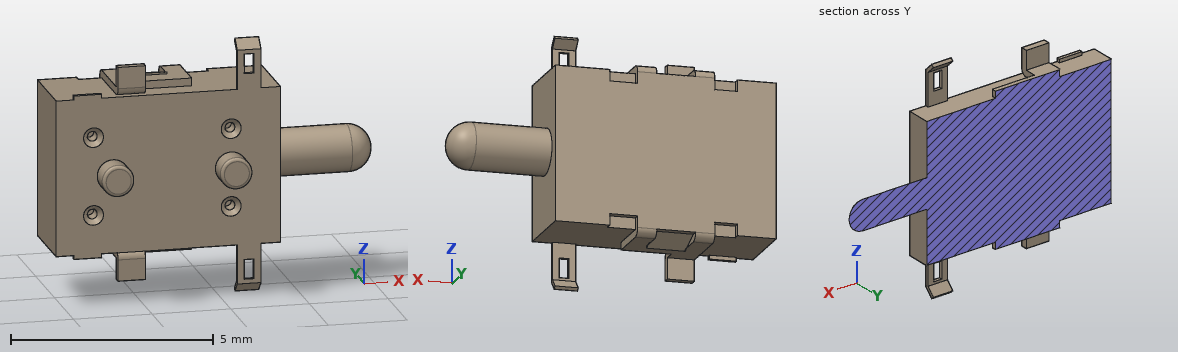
import cadquery as cq
import math


body_length = 5.7
body_depth = 2.0
body_height = 4.0
body_top = body_height / 2

total_length = 8.25
plunger_diameter = 1.2
plunger_radius = plunger_diameter / 2
plunger_y = 1.1
plunger_straight_length = total_length - plunger_radius - body_length

pin_diameter = 0.8
pin_length = 0.6
pin_edge_radius = 0.08
pin_spacing = 3.0
right_pin_x = 4.45
left_pin_x = right_pin_x - pin_spacing

hole_diameter = 0.25
hole_mouth_diameter = 0.5
hole_depth = 0.5
hole_x_positions = (0.95, right_pin_x)
hole_z = 1.0

ear_start_x = 0.45
ear_width = 0.7
ear_height = 0.1

strip_thickness = 0.1
terminal_start_x = 4.6
terminal_width = 0.6
terminal_bend_z = 3.0
terminal_tip_z = 3.25
terminal_bend_angle = 45.0
slot_width = 0.25
slot_height = 0.5
slot_z = 2.64

clip_thickness = 0.2
clip_width = 2.0
clip_start_x = 1.58
clip_center_x = clip_start_x + clip_width / 2
clip_front_y = 0.05
clip_top = body_top + clip_thickness
clip_shelf_y = 0.58
foot_width = 0.7
foot_top_z = 2.75
window_width = 1.0
window_depth = 0.9

recess_start_x = 1.0
recess_width = 3.3
recess_height = 0.3
recess_floor_z = body_top - recess_height

lug_height = 0.25


def box(x, y, z, length, depth, height):
    """Box whose smallest-coordinate corner is at (x, y, z)."""
    return cq.Workplane("XY").box(length, depth, height, centered=False).translate((x, y, z))


def both_sides(upper):
    """Upper feature together with its mirror image below."""
    return upper.union(upper.mirror("XY"))


def housing():
    body = box(0, 0, -body_top, body_length, body_depth, body_height)
    upper_recess = box(
        recess_start_x,
        body_depth - clip_thickness,
        recess_floor_z,
        recess_width,
        clip_thickness,
        recess_height,
    )
    return body.cut(both_sides(upper_recess))


def plunger():
    shaft = (
        cq.Workplane("YZ", origin=(body_length, plunger_y, 0))
        .circle(plunger_radius)
        .extrude(plunger_straight_length)
    )
    dome_x = total_length - plunger_radius
    dome = cq.Workplane("XY").sphere(plunger_radius).translate((dome_x, plunger_y, 0))
    tip_half = box(
        dome_x,
        plunger_y - plunger_radius,
        -plunger_radius,
        plunger_radius,
        plunger_diameter,
        plunger_diameter,
    )
    return shaft.union(dome.intersect(tip_half))


def locating_pin(x):
    return (
        cq.Workplane("XZ", origin=(x, 0, 0))
        .circle(pin_diameter / 2)
        .extrude(pin_length)
        .faces("<Y")
        .edges()
        .fillet(pin_edge_radius)
    )


def countersunk_hole(x, z):
    """Revolved cutter with a 45 degree countersink."""
    bore_radius = hole_diameter / 2
    mouth_radius = hole_mouth_diameter / 2
    return (
        cq.Workplane("XY")
        .moveTo(0, 0)
        .lineTo(mouth_radius, 0)
        .lineTo(bore_radius, mouth_radius - bore_radius)
        .lineTo(bore_radius, hole_depth)
        .lineTo(0, hole_depth)
        .close()
        .revolve(360, (0, 0, 0), (0, 1, 0))
        .translate((x, 0, z))
    )


def upper_ear():
    return box(ear_start_x, 0, body_top, ear_width, strip_thickness, ear_height)


def upper_terminal():
    bend = math.radians(terminal_bend_angle)
    tip_y = (terminal_tip_z - terminal_bend_z) * math.tan(bend)
    inner_bend_z = terminal_bend_z - strip_thickness * math.tan(bend / 2)
    inner_tip = (
        tip_y + strip_thickness * math.cos(bend),
        terminal_tip_z - strip_thickness * math.sin(bend),
    )
    strip = (
        cq.Workplane("YZ", origin=(terminal_start_x, 0, 0))
        .moveTo(0, body_top)
        .lineTo(0, terminal_bend_z)
        .lineTo(tip_y, terminal_tip_z)
        .lineTo(*inner_tip)
        .lineTo(strip_thickness, inner_bend_z)
        .lineTo(strip_thickness, body_top)
        .close()
        .extrude(terminal_width)
    )
    slot = box(
        terminal_start_x + (terminal_width - slot_width) / 2,
        0,
        slot_z - slot_height / 2,
        slot_width,
        strip_thickness,
        slot_height,
    )
    return strip.cut(slot)


def upper_clip():
    """One arm of the clip: root in the recess, shelf over the housing, window and soldering foot."""
    foot_back_y = clip_front_y + clip_thickness
    plate_front_y = body_depth - clip_thickness
    arc_offset = clip_thickness * math.sqrt(0.5)
    sheet = (
        cq.Workplane("YZ", origin=(clip_start_x, 0, 0))
        .moveTo(plate_front_y, recess_floor_z)
        .lineTo(body_depth, recess_floor_z)
        .lineTo(body_depth, body_top)
        .threePointArc((plate_front_y + arc_offset, body_top + arc_offset), (plate_front_y, clip_top))
        .lineTo(foot_back_y, clip_top)
        .lineTo(foot_back_y, foot_top_z)
        .lineTo(clip_front_y, foot_top_z)
        .lineTo(clip_front_y, clip_top)
        .threePointArc((foot_back_y - arc_offset, clip_top - arc_offset), (foot_back_y, body_top))
        .lineTo(plate_front_y, body_top)
        .close()
        .extrude(clip_width)
    )
    beside_foot = box(
        clip_start_x + foot_width,
        0,
        body_top,
        clip_width - foot_width,
        clip_shelf_y,
        foot_top_z - body_top,
    )
    window = box(
        clip_center_x - window_width / 2,
        body_depth - window_depth,
        body_top,
        window_width,
        window_depth,
        clip_thickness,
    )
    return sheet.cut(beside_foot).cut(window)


def upper_lug():
    lug_front_y = body_depth - window_depth
    return (
        cq.Workplane("YZ", origin=(clip_center_x - window_width / 2, 0, 0))
        .moveTo(body_depth - clip_thickness, body_top)
        .lineTo(lug_front_y, body_top + lug_height)
        .lineTo(lug_front_y, body_top)
        .close()
        .extrude(window_width)
    )


result = housing().union(plunger())

for pin_x in (left_pin_x, right_pin_x):
    result = result.union(locating_pin(pin_x))

for upper_feature in (upper_ear(), upper_terminal(), upper_clip(), upper_lug()):
    result = result.union(both_sides(upper_feature))

for hole_x in hole_x_positions:
    for side in (-1, 1):
        result = result.cut(countersunk_hole(hole_x, side * hole_z))